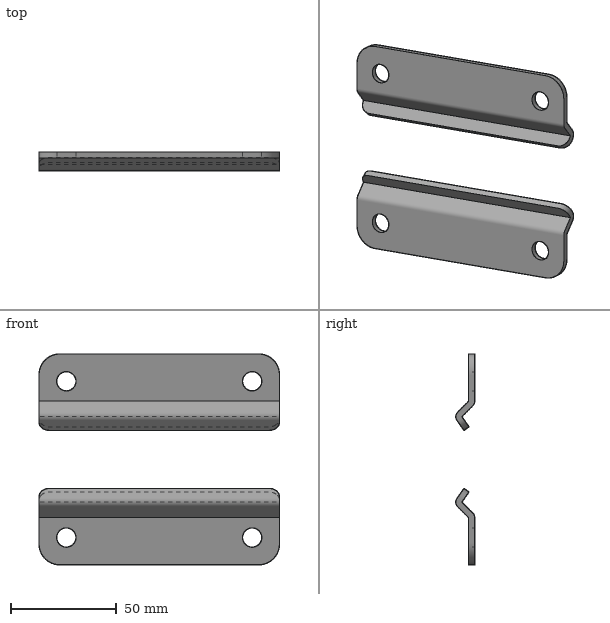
import cadquery as cq
import math


length = 114.0
thickness = 3.0
overall_depth = 9.08
overall_height = 100.0
flange_height = 22.45
web_angle = 45.0
lip_angle = 35.0
lip_length = 5.9

flange_corner_radius = 10.0
lip_corner_radius = 5.0
hole_diameter = 9.0
hole_edge_distance = 13.0

top = overall_height / 2
front_face = -thickness
hole_spacing = length - 2 * hole_edge_distance


def unit(angle):
    """Unit (Y, Z) vector at an angle in degrees from +Y towards +Z."""
    return (math.cos(math.radians(angle)), math.sin(math.radians(angle)))


def step(start, direction, distance):
    """(Y, Z) point reached from start along a direction."""
    return (start[0] + direction[0] * distance, start[1] + direction[1] * distance)


rearward = unit(0)
forward = unit(180)
web_normal = unit(-web_angle)
web_down = unit(-90 - web_angle)
lip_normal = unit(180 + lip_angle)
lip_down = unit(-90 + lip_angle)

flange_bend = (front_face, top - flange_height)
web_rear_start = step(flange_bend, web_normal, thickness)
lip_bend_y = thickness - overall_depth
web_length = (lip_bend_y - web_rear_start[0]) / web_down[0]
lip_bend = step(web_rear_start, web_down, web_length)


def bent_sheet():
    """Upper bracket with square corners: its bent profile extruded along X."""
    flange_bend_middle = step(flange_bend, unit(-web_angle / 2), thickness)
    lip_front_start = step(lip_bend, lip_normal, thickness)
    lip_bend_middle = step(lip_bend, forward, thickness)
    web_front_end = step(lip_bend, web_normal, -thickness)
    return (
        cq.Workplane("YZ", origin=(-length / 2, 0, 0))
        .moveTo(0, top)
        .lineTo(*step(flange_bend, rearward, thickness))
        .threePointArc(flange_bend_middle, web_rear_start)
        .lineTo(*lip_bend)
        .lineTo(*step(lip_bend, lip_down, lip_length))
        .lineTo(*step(lip_front_start, lip_down, lip_length))
        .lineTo(*lip_front_start)
        .threePointArc(lip_bend_middle, web_front_end)
        .lineTo(*flange_bend)
        .lineTo(front_face, top)
        .close()
        .extrude(length)
    )


def round_flange_corners(sheet):
    """Round the two outer corners of the flange."""
    return sheet.faces(">Z").edges("|Y").fillet(flange_corner_radius)


def round_lip_corners(sheet):
    """Round the two free corners of the lip, whose edges run through the sheet's thickness."""
    across_lip = cq.selectors.ParallelDirSelector(cq.Vector(0, *lip_normal))
    return sheet.edges(across_lip).fillet(lip_corner_radius)


def mounting_holes():
    """Cutters for the two holes through the flange."""
    return (
        cq.Workplane("XZ", origin=(0, 0, top - hole_edge_distance))
        .pushPoints([(-hole_spacing / 2, 0), (hole_spacing / 2, 0)])
        .circle(hole_diameter / 2)
        .extrude(thickness)
    )


def bracket():
    """Upper bracket, with its flange at the top."""
    sheet = round_lip_corners(round_flange_corners(bent_sheet()))
    return sheet.cut(mounting_holes()).solids()


upper_bracket = bracket()
lower_bracket = upper_bracket.mirror("XY").solids()

result = cq.Compound.makeCompound([upper_bracket.val(), lower_bracket.val()])